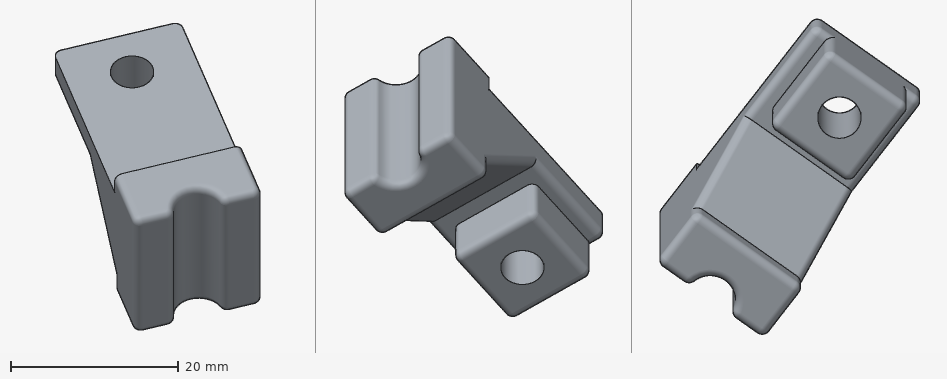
import cadquery as cq

length = 32.0
width = 16.0
height = 20.0
edge_radius = 1.0

leg_depth = 8.0
step_height = 3.0
plate_thickness = 4.0
slope_foot_z = 3.0
leg_x = length - leg_depth
plate_top = height - step_height
plate_bottom = plate_top - plate_thickness
slope_start_x = leg_x - (plate_bottom - slope_foot_z)

boss_size = 12.0
boss_drop = 6.0
boss_bottom = plate_bottom - boss_drop

hole_diameter = 5.2
notch_radius = 3.0


def make_bracket():
    """Bracket body with the half-round notch, all outer edges rounded."""
    profile = [
        (0, plate_top),
        (0, plate_bottom),
        (slope_start_x, plate_bottom),
        (leg_x, slope_foot_z),
        (leg_x, 0),
        (length, 0),
        (length, height),
        (leg_x, height),
        (leg_x, plate_top),
    ]
    body = cq.Workplane("XZ").polyline(profile).close().extrude(width / 2, both=True)
    notch = cq.Workplane("XY").center(length, 0).circle(notch_radius).extrude(height)
    body = body.cut(notch)

    rounded = body.edges().filter(is_rounded_edge)
    return body.newObject(rounded.vals()).fillet(edge_radius)


def is_rounded_edge(edge):
    """True for the outside edges, leaving out the step and the inside corners."""
    middle = edge.Center()
    box = edge.BoundingBox()
    tolerance = 0.003
    across = box.ylen > width - tolerance
    on_step = box.xmax < leg_x + tolerance and middle.z > plate_top - tolerance
    on_plate_top = abs(middle.z - plate_top) < tolerance and box.zlen < tolerance
    inside_corner = across and middle.x > tolerance and middle.z > tolerance and middle.x < length - tolerance
    return not (on_step or on_plate_top or inside_corner)


def make_boss():
    """Boss flush with the plate end, rounded on its sides and bottom."""
    boss = cq.Workplane("XY").workplane(offset=boss_bottom)
    boss = boss.center(boss_size / 2, 0).rect(boss_size, boss_size)
    boss = boss.extrude(plate_top - boss_bottom)
    return boss.edges("|Z or <Z").fillet(edge_radius)


def make_hole():
    """Through hole on the boss axis."""
    hole = cq.Workplane("XY").center(boss_size / 2, 0)
    return hole.circle(hole_diameter / 2).extrude(height)


result = make_bracket().union(make_boss()).cut(make_hole())